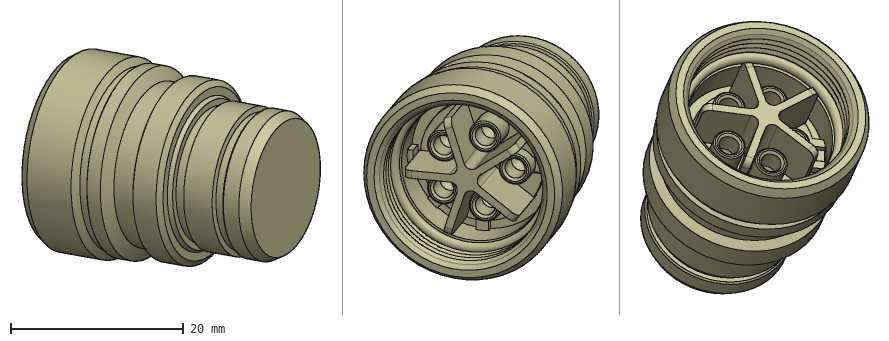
import cadquery as cq
import math

total_length = 28.8
embed = 0.2

coupling_radius = 12.0
coupling_face_radius = 11.35
coupling_chamfer_length = 1.05
coupling_end_x = 6.92
front_groove_x = 7.53
flange_radius = 11.0
ring_chamfer_x = 8.5
ring_start_x = 8.76
ring_radius = 11.53
ring_end_x = 10.56
waist_start_x = 11.44
waist_end_x = 14.04
waist_radius = 9.87
flange_start_x = 14.6
flange_end_x = 17.7
flange_back_x = 18.22
flange_back_radius = 10.27
collar_radius = 9.25
collar_end_radius = 8.95
collar_end_x = 18.75
neck_radius = 8.15
neck_end_x = 20.2
rear_radius = 8.9
rear_groove_start_x = 24.0
rear_groove_end_x = 25.3
rear_groove_radius = 8.23
rear_groove_taper = 0.12
rear_step_radius = 8.7
rear_step_end_x = 25.5
rear_chamfer_x = 27.55
rear_end_radius = 8.2

mouth_radius = 10.45
thread_root_radius = 9.94
thread_crest_radius = 9.6
thread_start_x = 0.5
thread_pitch = 1.0
thread_turns = 4

seal_x = 5.05
seal_centre_radius = 9.5
seal_section_radius = 0.65
ledge_x = seal_x + seal_section_radius - 0.05

chamber_radius = 8.75
chamber_floor_x = 10.0

core_radius = 7.42
core_front_x = 9.0
key_boss_width = 4.0
bridge_width = 1.55
bridge_front_x = 9.2
wide_bridge_width = 1.6
wide_bridge_angle = 45
wide_bridge_front_x = 9.7

channel_width = 1.94
channel_depth = 0.4
channel_step_radius = 7.57
channel_step_width = 0.2
channel_step_depth = 0.15

key_width = 1.55
key_inner_radius = 8.0
key_front_x = 8.0
key_outer_radius = 8.9
key_edge_radius = 0.4

pole_count = 5
pole_step = 360 / pole_count
star_front_x = 2.0
arm_radius = 7.5
arm_width = 0.95
arm_corner_radius = 1.0
star_core_fillet = 0.9

contact_circle_radius = 4.5
contact_radius = 1.9
contact_front_x = 5.3
first_contact_front_x = 7.0
first_contact_angle = 180
contact_rim_width = 0.18
contact_rim_height = 0.15
socket_mouth_radius = 1.5
socket_chamfer_length = 0.3
socket_radius = 1.2
socket_depth = 3.0
socket_cone_length = socket_radius


def revolve_about_axis(profile):
    return profile.close().revolve(360, (0, 0, 0), (1, 0, 0))


def turn_about_axis(shape, angle):
    return shape.rotate((0, 0, 0), (1, 0, 0), angle)


def radial_bar(front_x, back_x, inner_radius, outer_radius, width):
    """Bar along +Y, centred on Z = 0, between two radii and two X positions."""
    bar = cq.Workplane("XY").box(
        back_x - front_x, outer_radius - inner_radius, width, centered=(False, False, True)
    )
    return bar.translate((front_x, inner_radius, 0))


def disc(front_x, back_x, radius):
    return cq.Workplane("YZ").workplane(offset=front_x).circle(radius).extrude(back_x - front_x)


def make_outer_body():
    profile = cq.Workplane("XY").polyline([
        (0, 0),
        (0, coupling_face_radius),
        (coupling_chamfer_length, coupling_radius),
        (coupling_end_x, coupling_radius),
        (front_groove_x, flange_radius),
        (ring_chamfer_x, flange_radius),
        (ring_start_x, ring_radius),
        (ring_end_x, ring_radius),
        (waist_start_x, waist_radius),
        (waist_end_x, waist_radius),
        (flange_start_x, flange_radius),
        (flange_end_x, flange_radius),
        (flange_back_x, flange_back_radius),
        (flange_back_x, collar_radius),
        (collar_end_x, collar_end_radius),
        (collar_end_x, neck_radius),
        (neck_end_x, neck_radius),
        (neck_end_x, rear_radius),
        (rear_groove_start_x, rear_radius),
        (rear_groove_start_x + rear_groove_taper, rear_groove_radius),
        (rear_groove_end_x - rear_groove_taper, rear_groove_radius),
        (rear_groove_end_x, rear_step_radius),
        (rear_step_end_x, rear_radius),
        (rear_chamfer_x, rear_radius),
        (total_length, rear_end_radius),
        (total_length, 0),
    ])
    return revolve_about_axis(profile)


def make_bore():
    points = [(0, 0), (0, mouth_radius), (thread_start_x, thread_root_radius)]
    for turn in range(thread_turns):
        ridge_x = thread_start_x + turn * thread_pitch
        points.append((ridge_x + thread_pitch / 2, thread_crest_radius))
        points.append((ridge_x + thread_pitch, thread_root_radius))
    points += [
        (ledge_x, thread_root_radius),
        (ledge_x, chamber_radius),
        (chamber_floor_x, chamber_radius),
        (chamber_floor_x, 0),
    ]
    return revolve_about_axis(cq.Workplane("XY").polyline(points))


def make_seal():
    section = cq.Workplane("XY").center(seal_x, seal_centre_radius).circle(seal_section_radius)
    return section.revolve(360, (-seal_x, -seal_centre_radius, 0), (1 - seal_x, -seal_centre_radius, 0))


def make_core():
    back_x = chamber_floor_x + embed
    wall_radius = chamber_radius + embed
    core = disc(core_front_x, back_x, core_radius)
    key_boss = radial_bar(core_front_x, back_x, 0, wall_radius, key_boss_width)
    core = core.union(turn_about_axis(key_boss, first_contact_angle))
    bridge = radial_bar(bridge_front_x, back_x, core_radius - embed, wall_radius, bridge_width)
    for angle in (90, -90):
        core = core.union(turn_about_axis(bridge, angle))
    wide_bridge = radial_bar(
        wide_bridge_front_x, back_x, core_radius - embed, wall_radius, wide_bridge_width
    )
    return core.union(turn_about_axis(wide_bridge, -wide_bridge_angle))


def make_channel():
    """Channel along the key boss, dropping in two small steps towards the chamber wall."""
    start_radii = [
        contact_circle_radius,
        channel_step_radius,
        channel_step_radius + channel_step_width,
    ]
    channel = cq.Workplane("XY")
    for step, start_radius in enumerate(start_radii):
        floor_x = core_front_x + channel_depth + step * channel_step_depth
        channel = channel.add(
            radial_bar(core_front_x, floor_x, start_radius, chamber_radius, channel_width)
        )
    return turn_about_axis(channel.combine(), first_contact_angle)


def make_key():
    key = radial_bar(
        key_front_x, chamber_floor_x + embed, key_inner_radius, key_outer_radius, key_width
    )
    return key.edges("<X and >Y").fillet(key_edge_radius)


def make_star():
    arm = radial_bar(star_front_x, chamber_floor_x, 0, arm_radius, arm_width)
    arm = arm.edges("<X and >Y").fillet(arm_corner_radius)
    star = arm
    for pole in range(1, pole_count):
        star = star.union(turn_about_axis(arm, pole * pole_step))
    reach = arm_width / 2 / math.sin(math.radians(pole_step / 2)) + embed
    near_axis = cq.selectors.BoxSelector((0, -reach, -reach), (total_length, reach, reach))
    return star.edges("|X").edges(near_axis).fillet(star_core_fillet)


def place_on_pole(shape, pole):
    angle = first_contact_angle + pole * pole_step
    return turn_about_axis(shape.translate((0, contact_circle_radius, 0)), angle)


def make_contact(front_x):
    contact = cq.Workplane("XY").polyline([
        (front_x, 0),
        (front_x, contact_radius - contact_rim_width),
        (front_x + contact_rim_height, contact_radius),
        (chamber_floor_x + embed, contact_radius),
        (chamber_floor_x + embed, 0),
    ])
    return revolve_about_axis(contact)


def make_socket(front_x):
    socket_end_x = front_x + socket_depth
    socket = cq.Workplane("XY").polyline([
        (front_x, 0),
        (front_x, socket_mouth_radius),
        (front_x + socket_chamfer_length, socket_radius),
        (socket_end_x, socket_radius),
        (socket_end_x + socket_cone_length, 0),
    ])
    return revolve_about_axis(socket)


result = make_outer_body().cut(make_bore()).union(make_seal())
result = result.union(make_core()).cut(make_channel()).union(make_key()).union(make_star())
for pole in range(pole_count):
    front_x = first_contact_front_x if pole == 0 else contact_front_x
    result = result.union(place_on_pole(make_contact(front_x), pole))
    result = result.cut(place_on_pole(make_socket(front_x), pole))